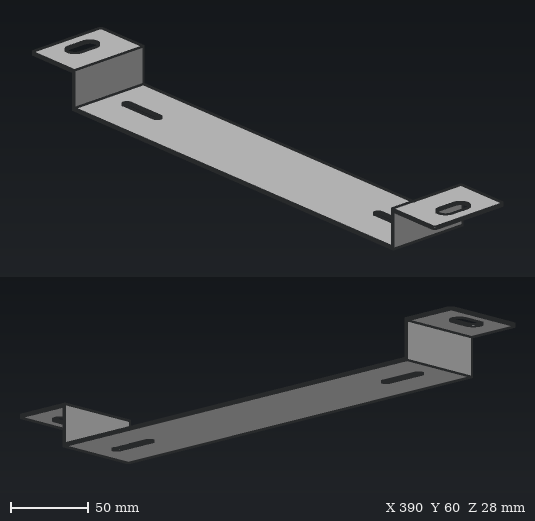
import cadquery as cq

length = 390.0
width = 60.0
height = 28.0
thickness = 1.5

flange_length = 41.5
corner_radius = 2.5

flange_slot_length = 25.0
flange_slot_width = 12.0
flange_slot_inset = 15.5

base_slot_length = 35.0
base_slot_width = 6.0
base_slot_inset = 73.5

half_length = length / 2
web_inner_x = half_length - flange_length
web_outer_x = web_inner_x + thickness


def folded_strip():
    """Hat-shaped sheet profile, centred on the width, with its base on Z = 0."""
    right_half = [
        (web_outer_x, 0),
        (web_outer_x, height - thickness),
        (half_length, height - thickness),
        (half_length, height),
        (web_inner_x, height),
        (web_inner_x, thickness),
    ]
    left_half = [(-x, z) for x, z in reversed(right_half)]
    profile = cq.Workplane("XZ").polyline(right_half + left_half).close()
    return profile.extrude(width / 2, both=True)


def round_flange_corners(strip):
    """Round the vertical edges at both free ends."""
    for end in ("<X", ">X"):
        strip = strip.faces(end).edges("|Z").fillet(corner_radius)
    return strip


def slot_pair(inset, slot_length, slot_width, angle):
    """Cutters for two mirrored slots, each centred at the inset from its end."""
    slot_x = half_length - inset
    return (
        cq.Workplane("XY")
        .pushPoints([(-slot_x, 0), (slot_x, 0)])
        .slot2D(slot_length, slot_width, angle)
        .extrude(height)
    )


result = (
    round_flange_corners(folded_strip())
    .cut(slot_pair(flange_slot_inset, flange_slot_length, flange_slot_width, 90))
    .cut(slot_pair(base_slot_inset, base_slot_length, base_slot_width, 0))
)